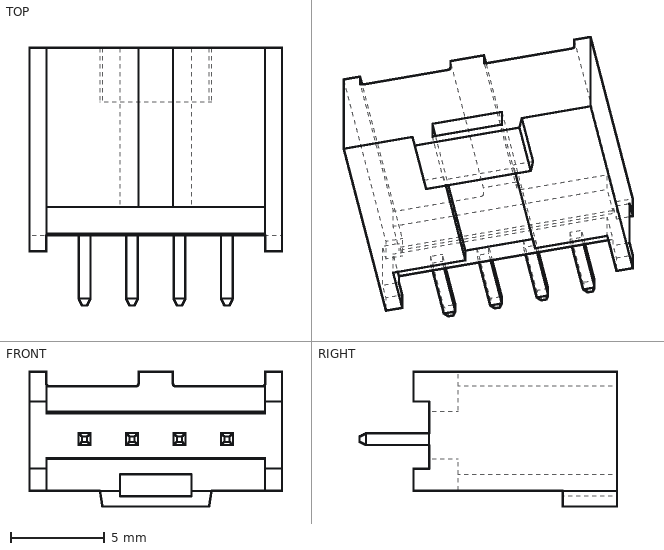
import cadquery as cq

housing_width = 13.51
housing_height = 6.38
wall_thickness = 0.9
wall_length = 10.9
body_length = 10.06
inner_width = housing_width - 2 * wall_thickness

notch_bottom = 1.2
notch_top = 4.78

panel_depth = 0.77
panel_height = housing_height - panel_depth
rib_width = 1.84
panel_width = (inner_width - rib_width) / 2
panel_foot_radius = 0.15

step_depth = 1.53
step_y = step_depth - body_length
bar_top = 4.26
bar_bottom = 1.71
bar_top_chamfer = 0.11
bar_bottom_chamfer = 0.05

total_height = 7.21
latch_drop = total_height - housing_height
latch_length = 2.92
latch_top_width = 5.98
latch_bottom_width = 5.72
slot_width = 3.81
slot_bottom = -0.27
slot_top = 0.89

pin_count = 4
pin_pitch = 2.54
pin_size = 0.64
pin_tip_size = 0.28
pin_tip_length = 0.37
pin_end_y = -13.8
pin_z = 2.77
pin_root_y = -body_length


def box(x_range, y_range, z_range):
    """Axis-aligned box between pairs of limits."""
    x0, x1 = x_range
    y0, y1 = y_range
    z0, z1 = z_range
    corner = cq.Workplane("XY", origin=(x0, y0, z0))
    return corner.box(x1 - x0, y1 - y0, z1 - z0, centered=False)


def make_side_wall(side):
    """Full-height side wall whose front end is notched back to the bar face."""
    outer = side * housing_width / 2
    inner = side * inner_width / 2
    x_range = (min(outer, inner), max(outer, inner))
    wall = box(x_range, (-wall_length, 0), (0, housing_height))
    notch = box(x_range, (-wall_length, -body_length), (notch_bottom, notch_top))
    return wall.cut(notch)


def make_core():
    """Block between the walls, with the chamfered bar standing out of its front."""
    return (
        cq.Workplane("YZ")
        .moveTo(0, 0)
        .lineTo(step_y, 0)
        .lineTo(step_y, bar_bottom)
        .lineTo(-body_length + bar_bottom_chamfer, bar_bottom)
        .lineTo(-body_length, bar_bottom + bar_bottom_chamfer)
        .lineTo(-body_length, bar_top - bar_top_chamfer)
        .lineTo(-body_length + bar_top_chamfer, bar_top)
        .lineTo(step_y, bar_top)
        .lineTo(step_y, housing_height)
        .lineTo(0, housing_height)
        .close()
        .extrude(inner_width / 2, both=True)
    )


def make_panel_recess(side):
    """Cutter for one top panel, rounded along both lower edges."""
    centre_x = side * (rib_width + panel_width) / 2
    x_range = (centre_x - panel_width / 2, centre_x + panel_width / 2)
    recess = box(x_range, (step_y, 0), (panel_height, housing_height))
    return recess.edges("|Y and <Z").fillet(panel_foot_radius)


def make_latch():
    """Tapered block hanging below the back end of the housing."""
    return (
        cq.Workplane("XZ")
        .moveTo(-latch_top_width / 2, 0)
        .lineTo(latch_top_width / 2, 0)
        .lineTo(latch_bottom_width / 2, -latch_drop)
        .lineTo(-latch_bottom_width / 2, -latch_drop)
        .close()
        .extrude(latch_length)
    )


def make_slot():
    """Cutter along the whole recessed underside and through the latch block."""
    return box((-slot_width / 2, slot_width / 2), (step_y, 0), (slot_bottom, slot_top))


def make_pin(x):
    """Square pin with a blunt pyramid tip pointing to -Y."""
    shank_end = pin_end_y + pin_tip_length
    half = pin_size / 2
    shank = box((x - half, x + half), (shank_end, pin_root_y), (pin_z - half, pin_z + half))
    tip = (
        cq.Workplane("XZ", origin=(x, shank_end, pin_z))
        .rect(pin_size, pin_size)
        .workplane(offset=pin_tip_length)
        .rect(pin_tip_size, pin_tip_size)
        .loft(ruled=True)
    )
    return shank.union(tip)


result = make_core()
for side in (-1, 1):
    result = result.cut(make_panel_recess(side))
    result = result.union(make_side_wall(side))

result = result.union(make_latch())
result = result.cut(make_slot())

for index in range(pin_count):
    pin_x = (index - (pin_count - 1) / 2) * pin_pitch
    result = result.union(make_pin(pin_x))